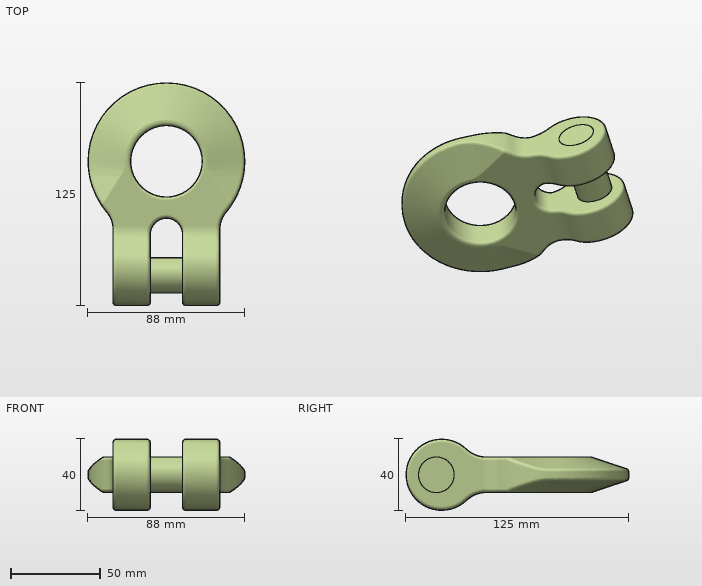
import cadquery as cq
import math

RING_RADIUS = 44.0
HOLE_RADIUS = 20.0
PLATE_THICKNESS = 20.0
HALF_PLATE = PLATE_THICKNESS / 2

SLOPE_START_RADIUS = 23.0
RIM_THICKNESS = 6.0
SLOPE_DROP_PER_MM = (HALF_PLATE - RIM_THICKNESS / 2) / (RING_RADIUS - SLOPE_START_RADIUS)
RUNOUT_ANGLE = math.radians(12.0)
RUNOUT_BEND_RADIUS = 40.0

FORK_WIDTH = 60.0
HALF_FORK = FORK_WIDTH / 2
SLOT_WIDTH = 18.0
SLOT_END_Y = -32.0
LUG_RADIUS = 20.0
LUG_Y = -61.0
NECK_RADIUS = 15.0
LUG_BLEND_RADIUS = 16.0

PIN_DIAMETER = 20.0
PIN_Y = -64.0

EDGE_FILLET = 2.0

CLEARANCE = 10.0
FORK_END_Y = LUG_Y - LUG_RADIUS


def point_on_circle(center, radius, angle):
    return (center[0] + radius * math.cos(angle), center[1] + radius * math.sin(angle))


def middle_of_arc(center, end_a, end_b):
    """Point on an arc halfway between its two ends."""
    angle_a = math.atan2(end_a[1] - center[1], end_a[0] - center[0])
    angle_b = math.atan2(end_b[1] - center[1], end_b[0] - center[0])
    radius = math.dist(center, end_a)
    return point_on_circle(center, radius, (angle_a + angle_b) / 2)


def plan_block():
    """Ring and fork outline seen along Z, as tall as the lugs."""
    neck_x = HALF_FORK + NECK_RADIUS
    reach = RING_RADIUS + NECK_RADIUS
    neck_y = -math.sqrt(reach**2 - neck_x**2)
    ring_x = neck_x * RING_RADIUS / reach
    ring_y = neck_y * RING_RADIUS / reach
    mid_x, mid_y = middle_of_arc((-neck_x, neck_y), (-HALF_FORK, neck_y), (-ring_x, ring_y))
    return (
        cq.Workplane("XY", origin=(0, 0, -LUG_RADIUS))
        .moveTo(-HALF_FORK, FORK_END_Y)
        .lineTo(-HALF_FORK, neck_y)
        .threePointArc((mid_x, mid_y), (-ring_x, ring_y))
        .threePointArc((0, RING_RADIUS), (ring_x, ring_y))
        .threePointArc((-mid_x, mid_y), (HALF_FORK, neck_y))
        .lineTo(HALF_FORK, FORK_END_Y)
        .close()
        .extrude(2 * LUG_RADIUS)
    )


def side_block():
    """Flat plate blending into the round lugs, seen along X."""
    reach = LUG_RADIUS + LUG_BLEND_RADIUS
    blend_z = HALF_PLATE + LUG_BLEND_RADIUS
    blend_y = LUG_Y + math.sqrt(reach**2 - blend_z**2)
    lug_y = LUG_Y + (blend_y - LUG_Y) * LUG_RADIUS / reach
    lug_z = blend_z * LUG_RADIUS / reach
    mid_y, mid_z = middle_of_arc((blend_y, blend_z), (blend_y, HALF_PLATE), (lug_y, lug_z))
    return (
        cq.Workplane("YZ")
        .moveTo(RING_RADIUS, HALF_PLATE)
        .lineTo(blend_y, HALF_PLATE)
        .threePointArc((mid_y, mid_z), (lug_y, lug_z))
        .threePointArc((FORK_END_Y, 0), (lug_y, -lug_z))
        .threePointArc((mid_y, -mid_z), (blend_y, -HALF_PLATE))
        .lineTo(RING_RADIUS, -HALF_PLATE)
        .close()
        .extrude(RING_RADIUS, both=True)
    )


def fork_slot():
    half_slot = SLOT_WIDTH / 2
    round_y = SLOT_END_Y - half_slot
    return (
        cq.Workplane("XY")
        .moveTo(-half_slot, FORK_END_Y - CLEARANCE)
        .lineTo(-half_slot, round_y)
        .threePointArc((0, SLOT_END_Y), (half_slot, round_y))
        .lineTo(half_slot, FORK_END_Y - CLEARANCE)
        .close()
        .extrude(LUG_RADIUS, both=True)
    )


def cone_cutter():
    """Material above the conical face on the +Y half of the ring."""
    outer = RING_RADIUS + CLEARANCE
    drop = (outer - SLOPE_START_RADIUS) * SLOPE_DROP_PER_MM
    return (
        cq.Workplane("XZ")
        .moveTo(SLOPE_START_RADIUS, HALF_PLATE)
        .lineTo(outer, HALF_PLATE - drop)
        .lineTo(outer, HALF_PLATE + CLEARANCE)
        .lineTo(SLOPE_START_RADIUS, HALF_PLATE + CLEARANCE)
        .close()
        .revolve(180, (0, 0, 0), (0, 1, 0))
    )


def runout_cutter(side):
    """Sloped face carried on towards -Y, bending up until it leaves the plate."""
    bend_y = -RUNOUT_BEND_RADIUS * math.sin(RUNOUT_ANGLE)
    bend_z = HALF_PLATE + RUNOUT_BEND_RADIUS * (1 - math.cos(RUNOUT_ANGLE))
    half_y = -RUNOUT_BEND_RADIUS * math.sin(RUNOUT_ANGLE / 2)
    half_z = HALF_PLATE + RUNOUT_BEND_RADIUS * (1 - math.cos(RUNOUT_ANGLE / 2))
    top_z = HALF_PLATE + CLEARANCE
    end_y = bend_y - (top_z - bend_z) / math.tan(RUNOUT_ANGLE)
    outline = (
        cq.Workplane("YZ", origin=(side * SLOPE_START_RADIUS, 0, 0))
        .moveTo(0, HALF_PLATE)
        .threePointArc((half_y, half_z), (bend_y, bend_z))
        .lineTo(end_y, top_z)
        .lineTo(0, top_z)
        .close()
        .val()
    )
    length = RING_RADIUS + CLEARANCE - SLOPE_START_RADIUS
    direction = cq.Vector(side * length, 0, -length * SLOPE_DROP_PER_MM)
    return cq.Workplane(cq.Solid.extrudeLinear(outline, [], direction))


def ring_hole():
    """Bore with rounded mouths, as a revolved cutter."""
    mouth_radius = HOLE_RADIUS + EDGE_FILLET
    rounding_z = HALF_PLATE - EDGE_FILLET
    mid_r, mid_z = point_on_circle((mouth_radius, rounding_z), EDGE_FILLET, 3 * math.pi / 4)
    return (
        cq.Workplane("XZ")
        .moveTo(0, HALF_PLATE)
        .lineTo(mouth_radius, HALF_PLATE)
        .threePointArc((mid_r, mid_z), (HOLE_RADIUS, rounding_z))
        .lineTo(HOLE_RADIUS, -rounding_z)
        .threePointArc((mid_r, -mid_z), (mouth_radius, -HALF_PLATE))
        .lineTo(0, -HALF_PLATE)
        .close()
        .revolve(360, (0, 0, 0), (0, 1, 0))
    )


def on_ring_rim(edge):
    middle = edge.positionAt(0.5)
    return math.isclose(math.hypot(middle.x, middle.y), RING_RADIUS, rel_tol=1e-4)


def on_ridge(edge):
    """True where the sloped faces meet the flat faces of the plate."""
    flat = all(math.isclose(abs(edge.positionAt(t).z), HALF_PLATE, rel_tol=1e-4) for t in (0, 0.5, 1))
    middle = edge.positionAt(0.5)
    from_axis = math.hypot(middle.x, middle.y)
    return flat and middle.y > SLOT_END_Y and from_axis < RING_RADIUS - EDGE_FILLET


def make_shackle():
    body = plan_block().intersect(side_block()).cut(fork_slot())
    for cutter in (cone_cutter(), runout_cutter(1), runout_cutter(-1)):
        body = body.cut(cutter).cut(cutter.mirror("XY"))
    fork_rim = body.faces("#Z").edges("not(|Z or |X)")
    ring_rim = body.edges("not |Z").filter(on_ring_rim)
    ridges = body.edges().filter(on_ridge)
    rounded = fork_rim.vals() + ring_rim.vals() + ridges.vals()
    return body.newObject(rounded).fillet(EDGE_FILLET).cut(ring_hole())


def make_pin():
    return cq.Workplane("YZ", origin=(-HALF_FORK, PIN_Y, 0)).circle(PIN_DIAMETER / 2).extrude(FORK_WIDTH)


shackle = make_shackle()
pin = make_pin()
result = cq.Compound.makeCompound([shackle.cut(pin).val(), pin.val()])